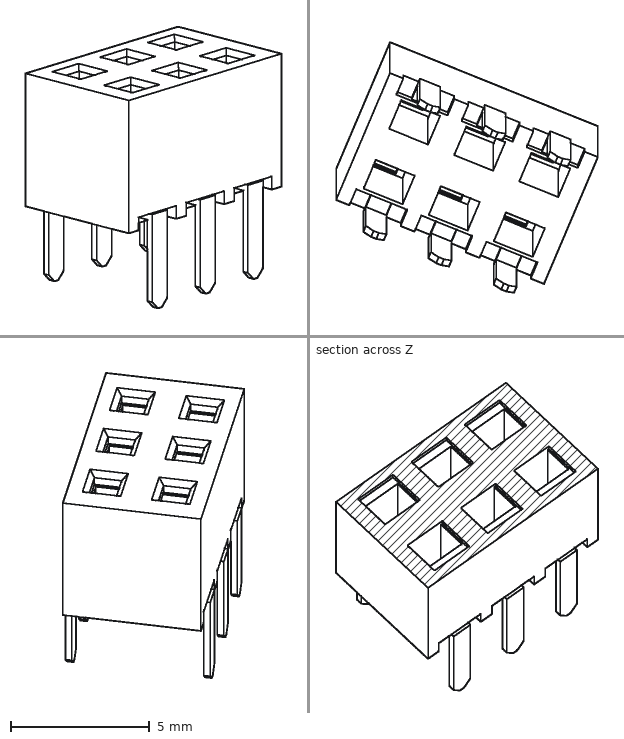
import cadquery as cq

body_x = 5.08
body_y = 8.12
body_z = 5.0

pitch = 2.54
rows = 3
sides = (-1, 1)
row_positions = [(row - (rows - 1) / 2) * pitch for row in range(rows)]

throat_size = 1.0
lead_in = 0.2
throat_depth = 0.5
throat_bottom = body_z - throat_depth
pocket_height = 0.29
ledge_z = throat_bottom - pocket_height
pocket_margin = 0.325
bore_margin = 0.26
inner_margin = 0.15

notch_width = 2.0
notch_depth = 0.65
notch_height = 0.495

overall_x = 5.33
pin_thickness = 0.24
pin_width = 0.8
pin_drop = 3.1
tip_chamfer = 0.3


def box(x_from, x_to, y_center, y_size, z_from, z_to):
    """Axis-aligned block; the two X limits may come in either order."""
    return (
        cq.Workplane("XY")
        .box(abs(x_to - x_from), y_size, z_to - z_from, centered=(True, True, False))
        .translate(((x_from + x_to) / 2, y_center, z_from))
    )


def socket(side, y):
    """Everything removed for one socket, with its ledge on the outer side."""
    x = side * pitch / 2
    outer_x = x + side * throat_size / 2
    inner_x = x - side * throat_size / 2
    inner_wall_x = inner_x - side * inner_margin

    mouth_size = throat_size + 2 * lead_in
    mouth = (
        cq.Workplane("XY", origin=(x, y, body_z))
        .rect(mouth_size, mouth_size)
        .workplane(offset=-lead_in)
        .rect(throat_size, throat_size)
        .loft(ruled=True)
    )
    throat = box(inner_x, outer_x, y, throat_size, throat_bottom, body_z)
    pocket = box(
        inner_wall_x, outer_x + side * pocket_margin,
        y, throat_size + 2 * pocket_margin, ledge_z, throat_bottom,
    )
    bore = box(inner_wall_x, outer_x, y, throat_size + 2 * bore_margin, 0, ledge_z)
    return mouth.union(throat).union(pocket).union(bore)


def notch(side, y):
    face_x = side * body_x / 2
    return box(face_x, face_x - side * notch_depth, y, notch_width, 0, notch_height)


def pin(side, y):
    """Vertical blade with chamfered tip corners, and an arm running in along the notch ceiling."""
    outer_x = side * overall_x / 2
    blade = box(
        outer_x, outer_x - side * pin_thickness,
        y, pin_width, -pin_drop, notch_height,
    )
    blade = blade.faces("<Z").edges("|X").chamfer(tip_chamfer)
    notch_end_x = side * (body_x / 2 - notch_depth)
    arm = box(outer_x, notch_end_x, y, pin_width, notch_height - pin_thickness, notch_height)
    return blade.union(arm)


result = box(-body_x / 2, body_x / 2, 0, body_y, 0, body_z)
for side in sides:
    for y in row_positions:
        result = result.cut(socket(side, y)).cut(notch(side, y)).union(pin(side, y))